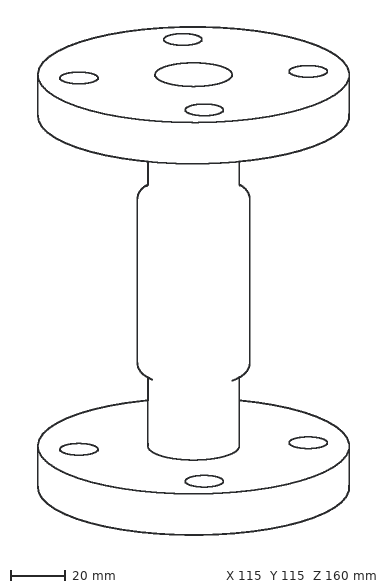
import cadquery as cq

total_length = 160.0
flange_diameter = 115.0
flange_thickness = 16.0
bolt_circle_diameter = 85.0
bolt_hole_diameter = 14.0
bolt_hole_count = 4
first_bolt_angle = 45.0
pipe_diameter = 33.8
bore_diameter = 28.5
sleeve_diameter = 41.6
sleeve_straight_length = 63.4
shoulder_length = 6.0

pipe_radius = pipe_diameter / 2
sleeve_radius = sleeve_diameter / 2
half_length = total_length / 2


def make_flange(bottom_z):
    """Round flange with its bolt holes, standing on bottom_z."""
    bolt_circle_radius = bolt_circle_diameter / 2
    flange = (
        cq.Workplane("XY")
        .workplane(offset=bottom_z)
        .circle(flange_diameter / 2)
        .extrude(flange_thickness)
    )
    bolt_holes = (
        cq.Workplane("XY")
        .workplane(offset=bottom_z)
        .polarArray(bolt_circle_radius, first_bolt_angle, 360, bolt_hole_count)
        .circle(bolt_hole_diameter / 2)
        .extrude(flange_thickness)
    )
    return flange.cut(bolt_holes)


def make_sleeve():
    """Thicker middle section whose ends run into the pipe through S-shaped shoulders."""
    straight_end = sleeve_straight_length / 2
    shoulder_end = straight_end + shoulder_length
    shoulder_middle_z = (straight_end + shoulder_end) / 2
    shoulder_middle_radius = (pipe_radius + sleeve_radius) / 2
    along_axis = (0, 1)

    upper_profile = (
        cq.Workplane("XZ")
        .lineTo(sleeve_radius, 0)
        .lineTo(sleeve_radius, straight_end)
        .tangentArcPoint((shoulder_middle_radius, shoulder_middle_z), relative=False)
        .tangentArcPoint((pipe_radius, shoulder_end), relative=False)
        .lineTo(0, shoulder_end)
        .close()
    )
    upper_half = upper_profile.revolve(360, (0, 0), along_axis)
    return upper_half.union(upper_half.mirror("XY"))


def make_through_cylinder(diameter):
    """Cylinder on the axis over the full length of the part."""
    return cq.Workplane("XY").workplane(offset=-half_length).circle(diameter / 2).extrude(total_length)


result = make_through_cylinder(pipe_diameter).union(make_sleeve())
for flange_bottom in (-half_length, half_length - flange_thickness):
    result = result.union(make_flange(flange_bottom))
result = result.cut(make_through_cylinder(bore_diameter))